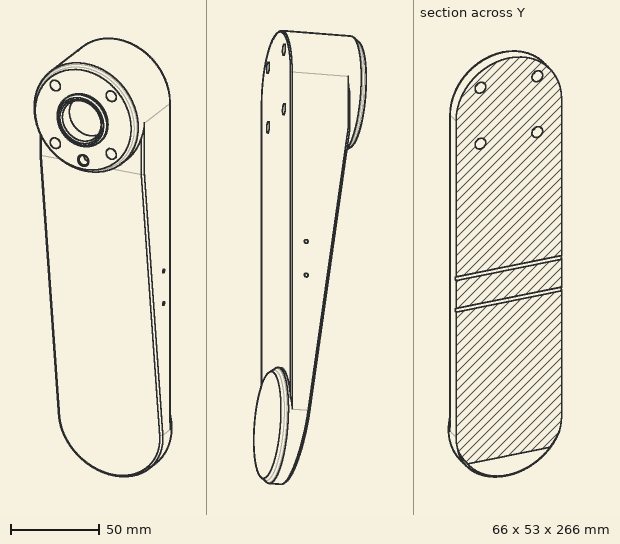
import cadquery as cq
import math

LENGTH = 266.0
WIDTH = 66.0
END_RADIUS = WIDTH / 2
BOTTOM_CENTER_Z = END_RADIUS
TOP_CENTER_Z = LENGTH - END_RADIUS

ARM_DEPTH = 34.8
TIP_DEPTH = 7.0
TAPER_TOP_Z = 201.5
FRONT_CHAMFER = 1.3
BACK_CHAMFER = 0.8

HEAD_DEPTH = 45.0
FLANGE_HEIGHT = 5.0
FLANGE_OVERLAP = 3.2
RIM_BEVEL = [
    (0, 3.7),
    (0.5, 3.0),
    (1.5, 1.5),
    (2.7, 0),
]

RING_RADIUS = 15.7
RING_HEIGHT = 3.0
RING_CHAMFER = 1.3
BORE_RADIUS = 12.2
BORE_CHAMFER = 1.0
BORE_DEPTH = 9.8

BOLT_CIRCLE_RADIUS = 25.0
BOLT_HOLE_RADIUS = 3.2
PIN_HOLE_RADIUS = 3.0
PIN_HOLE_CHAMFER = 0.5
PIN_HOLE_DEPTH = 6.6
PIN_TIP_ANGLE = 118.0

SIDE_HOLE_RADIUS = 1.0
SIDE_HOLE_INSET = 9.0
SIDE_HOLE_UPPER_Z = 133.0
SIDE_HOLE_SPACING = 20.0


def turned(profile, center_z):
    """Solid of revolution about the Y direction through center_z; profile is (radius, y) points."""
    axis_start = (0, 0)
    axis_end = (0, 1)
    body = cq.Workplane("XY").polyline(profile).close().revolve(360, axis_start, axis_end)
    return body.translate((0, 0, center_z))


def beveled_disc(start_y, face_y, center_z):
    """Full-width disc from start_y to face_y with a stepped bevel around its outer face."""
    outward = math.copysign(1, face_y - start_y)
    bevel = [(END_RADIUS - inset, face_y - outward * setback) for inset, setback in RIM_BEVEL]
    profile = [(0, start_y), (END_RADIUS, start_y)] + bevel + [(0, face_y)]
    return turned(profile, center_z)


def tapered_arm():
    """Bar with a round lower end and a sloping front face; its square upper end runs into the head."""
    bar = (
        cq.Workplane("XZ")
        .center(0, LENGTH / 2)
        .slot2D(LENGTH, WIDTH, 90)
        .extrude(ARM_DEPTH)
    )
    side_profile = [
        (0, 0),
        (-TIP_DEPTH, 0),
        (-ARM_DEPTH, TAPER_TOP_Z),
        (-ARM_DEPTH, TOP_CENTER_Z),
        (0, TOP_CENTER_Z),
    ]
    wedge = cq.Workplane("YZ").polyline(side_profile).close().extrude(END_RADIUS, both=True)
    arm = bar.intersect(wedge)
    upright_face = arm.faces("<Y")
    sloping_face = arm.faces("not(|X or |Y or |Z)").faces("%PLANE")
    arm = upright_face.add(sloping_face).edges("not |X").chamfer(FRONT_CHAMFER)
    return arm.faces(">Y").edges("not |X").chamfer(BACK_CHAMFER)


def head():
    """Joint head: back-chamfered cylinder with a beveled front rim and a centring ring."""
    face_y = -HEAD_DEPTH
    body = beveled_disc(0, face_y, TOP_CENTER_Z).faces(">Y").edges().chamfer(BACK_CHAMFER)
    ring_y = face_y - RING_HEIGHT
    ring_profile = [
        (0, face_y),
        (RING_RADIUS, face_y),
        (RING_RADIUS, ring_y + RING_CHAMFER),
        (RING_RADIUS - RING_CHAMFER, ring_y),
        (0, ring_y),
    ]
    return body.union(turned(ring_profile, TOP_CENTER_Z))


def bore():
    """Blind bore in the centring ring with a chamfered mouth."""
    mouth_y = -HEAD_DEPTH - RING_HEIGHT
    profile = [
        (0, mouth_y),
        (BORE_RADIUS + BORE_CHAMFER, mouth_y),
        (BORE_RADIUS, mouth_y + BORE_CHAMFER),
        (BORE_RADIUS, mouth_y + BORE_DEPTH),
        (0, mouth_y + BORE_DEPTH),
    ]
    return turned(profile, TOP_CENTER_Z)


def bolt_holes():
    """Four through holes at 45 degrees to the axes."""
    return (
        cq.Workplane("XZ")
        .center(0, TOP_CENTER_Z)
        .polarArray(BOLT_CIRCLE_RADIUS, 45, 360, 4)
        .circle(BOLT_HOLE_RADIUS)
        .extrude(HEAD_DEPTH)
    )


def pin_hole():
    """Blind drilled hole below the bore, with a chamfered mouth and a drill-point floor."""
    floor_y = -HEAD_DEPTH + PIN_HOLE_DEPTH
    tip_length = PIN_HOLE_RADIUS / math.tan(math.radians(PIN_TIP_ANGLE / 2))
    profile = [
        (0, -HEAD_DEPTH),
        (PIN_HOLE_RADIUS + PIN_HOLE_CHAMFER, -HEAD_DEPTH),
        (PIN_HOLE_RADIUS, -HEAD_DEPTH + PIN_HOLE_CHAMFER),
        (PIN_HOLE_RADIUS, floor_y),
        (0, floor_y + tip_length),
    ]
    return turned(profile, TOP_CENTER_Z - BOLT_CIRCLE_RADIUS)


def side_holes():
    """Two small holes passing through the arm along X."""
    lower_z = SIDE_HOLE_UPPER_Z - SIDE_HOLE_SPACING
    return (
        cq.Workplane("YZ")
        .pushPoints([(-SIDE_HOLE_INSET, z) for z in (lower_z, SIDE_HOLE_UPPER_Z)])
        .circle(SIDE_HOLE_RADIUS)
        .extrude(END_RADIUS, both=True)
    )


flange = beveled_disc(-FLANGE_OVERLAP, FLANGE_HEIGHT, BOTTOM_CENTER_Z)
result = tapered_arm().union(head()).union(flange)
for cutter in (bore(), bolt_holes(), pin_hole(), side_holes()):
    result = result.cut(cutter)